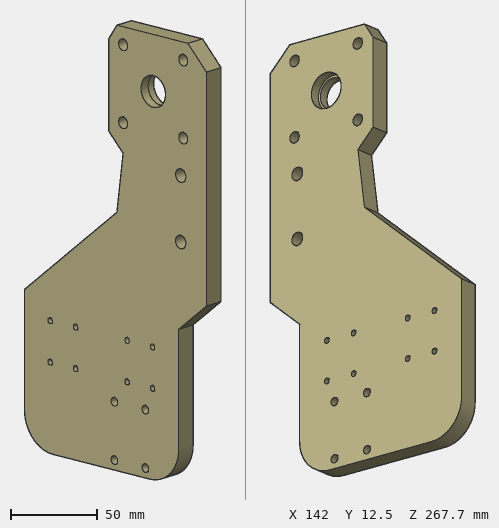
import cadquery as cq

width = 142.0
thickness = 12.5
height = 267.7

body_width = 120.2
body_left_top = 94.8
body_right_top = 94.5
corner_radius = 22.5

neck_low = (72.0, 155.3)
neck_high = (76.8, 191.7)
head_left = 65.5
head_left_bottom = 203.0
head_right_bottom = 112.7
left_chamfer_width = 6.5
left_chamfer_height = 9.6
right_chamfer = 14.5

motor_x = 100.5
motor_z = 233.5
shaft_diameter = 19.0
pilot_diameter = 22.0
pilot_depth = 6.5
motor_hole_spacing = 46.8
motor_hole_diameter = 7.0

neck_hole_x = 121.8
neck_hole_heights = (147.2, 187.0)
neck_hole_diameter = 8.0

small_group_centers = (30.0, 90.0)
small_group_z = 67.5
small_spacing_x = 19.8
small_spacing_z = 25.0
small_hole_diameter = 3.5

lower_group_x = 82.2
lower_group_z = 23.5
lower_spacing_x = 24.0
lower_spacing_z = 35.0
lower_hole_diameter = 5.0


def make_plate():
    """Extrude the outline and round the two bottom corners."""
    outline = [
        (0, 0),
        (body_width, 0),
        (body_width, body_right_top),
        (width, head_right_bottom),
        (width, height - right_chamfer),
        (width - right_chamfer, height),
        (head_left + left_chamfer_width, height),
        (head_left, height - left_chamfer_height),
        (head_left, head_left_bottom),
        neck_high,
        neck_low,
        (0, body_left_top),
    ]
    plate = cq.Workplane("XZ").polyline(outline).close().extrude(-thickness)
    bottom_corners = plate.faces("<Z").edges("|Y")
    return bottom_corners.fillet(corner_radius)


def rectangle_points(center_x, center_z, spacing_x, spacing_z):
    """Return the four corners of a centred rectangle."""
    return [
        (center_x + side_x * spacing_x / 2, center_z + side_z * spacing_z / 2)
        for side_x in (-1, 1)
        for side_z in (-1, 1)
    ]


def cylinders(points, diameter, start=0.0):
    """Make cutters along Y, from depth `start` to the back face."""
    plane = cq.Workplane("XZ", origin=(0, start, 0))
    return plane.pushPoints(points).circle(diameter / 2).extrude(start - thickness)


plate = make_plate()

motor_center = [(motor_x, motor_z)]
plate = plate.cut(cylinders(motor_center, shaft_diameter))
plate = plate.cut(cylinders(motor_center, pilot_diameter, thickness - pilot_depth))

motor_holes = rectangle_points(motor_x, motor_z, motor_hole_spacing, motor_hole_spacing)
plate = plate.cut(cylinders(motor_holes, motor_hole_diameter))

neck_holes = [(neck_hole_x, hole_z) for hole_z in neck_hole_heights]
plate = plate.cut(cylinders(neck_holes, neck_hole_diameter))

for group_x in small_group_centers:
    small_holes = rectangle_points(group_x, small_group_z, small_spacing_x, small_spacing_z)
    plate = plate.cut(cylinders(small_holes, small_hole_diameter))

lower_holes = rectangle_points(lower_group_x, lower_group_z, lower_spacing_x, lower_spacing_z)
plate = plate.cut(cylinders(lower_holes, lower_hole_diameter))

result = plate